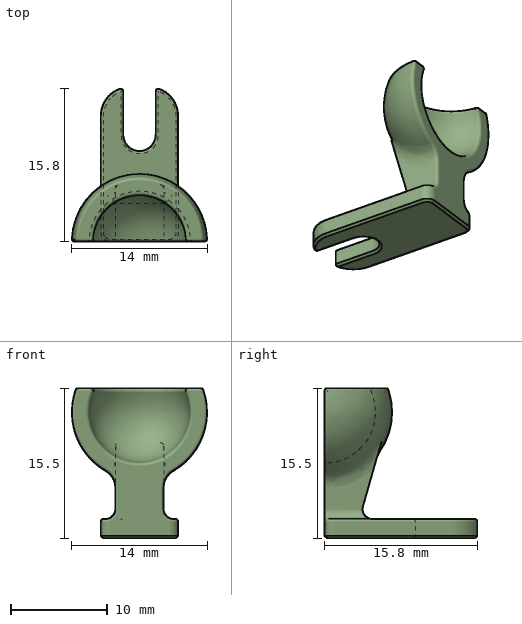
import cadquery as cq
import math

cup_radius = 6.99
socket_radius = 5.24
cup_center_z = 13.0
total_height = 15.5

base_length = 15.78
base_width = 8.0
base_thickness = 2.0
front_corner_radius = 1.0
nose_radius = 3.0
nose_middle_angle = 40
slot_width = 3.31
slot_center_y = 11.01

stem_width = 5.0
stem_depth_at_base = 3.61
stem_lean = 15.9
foot_radius = 1.0
neck_radius = 2.0

edge_radius = 0.3
bottom_chamfer = 0.25

probe = 0.08


def make_base():
    half_width = base_width / 2
    slot_radius = slot_width / 2
    tip_offset = slot_radius + edge_radius - (half_width - nose_radius)
    tip_reach = math.sqrt((nose_radius - edge_radius) ** 2 - tip_offset**2) + edge_radius
    shoulder_y = base_length - tip_reach
    nose_center_x = half_width - nose_radius
    corner_y = shoulder_y + math.sqrt(nose_radius**2 - (slot_radius - nose_center_x) ** 2)
    middle_angle = math.radians(nose_middle_angle)
    middle_x = nose_center_x + nose_radius * math.cos(middle_angle)
    middle_y = shoulder_y + nose_radius * math.sin(middle_angle)
    plate = (
        cq.Workplane("XY")
        .moveTo(-half_width, 0)
        .lineTo(half_width, 0)
        .lineTo(half_width, shoulder_y)
        .threePointArc((middle_x, middle_y), (slot_radius, corner_y))
        .lineTo(slot_radius, slot_center_y)
        .threePointArc((0, slot_center_y - slot_radius), (-slot_radius, slot_center_y))
        .lineTo(-slot_radius, corner_y)
        .threePointArc((-middle_x, middle_y), (-half_width, shoulder_y))
        .close()
        .extrude(base_thickness)
    )
    plate = plate.edges("|Z and <Y").fillet(front_corner_radius)
    plate = plate.edges("|Z and >Y").fillet(edge_radius)
    return plate.faces("<Z").edges().chamfer(bottom_chamfer)


def make_stem():
    lean = math.radians(stem_lean)
    cup_rise = cup_center_z - base_thickness
    back_distance = stem_depth_at_base * math.cos(lean) + cup_rise * math.sin(lean)
    top_depth = back_distance * math.cos(lean)
    top_z = cup_center_z - back_distance * math.sin(lean)
    return (
        cq.Workplane("YZ")
        .moveTo(0, base_thickness)
        .lineTo(stem_depth_at_base, base_thickness)
        .lineTo(top_depth, top_z)
        .lineTo(0, top_z)
        .close()
        .extrude(stem_width / 2, both=True)
    )


def make_ball(radius):
    ball = cq.Workplane("XY").sphere(radius).rotate((0, 0, 0), (1, 0, 0), 90)
    return ball.translate((0, 0, cup_center_z))


def make_cup():
    size = 3 * base_length
    front_space = cq.Workplane("XY").box(size, size, size).translate((0, -size / 2, 0))
    space_above = cq.Workplane("XY").box(size, size, size).translate((0, 0, total_height + size / 2))
    return make_ball(cup_radius).cut(front_space).cut(space_above)


def edges_inside(solid, low_corner, high_corner):
    return solid.edges(cq.selectors.BoxSelector(low_corner, high_corner, boundingbox=True))


def blend_stem(solid):
    reach = stem_width / 2 + probe
    neck_edges = edges_inside(
        solid,
        (-reach, -probe, base_thickness + probe),
        (reach, cup_radius, cup_center_z),
    ).edges("%CIRCLE")
    solid = solid.newObject(neck_edges.vals()).fillet(neck_radius)
    foot_edges = edges_inside(
        solid,
        (-reach, -probe, base_thickness - probe),
        (reach, stem_depth_at_base + probe, base_thickness + probe),
    )
    return solid.newObject(foot_edges.vals()).fillet(foot_radius)


def round_edges(solid):
    front_edges = edges_inside(
        solid,
        (-base_length, -probe, base_thickness),
        (base_length, probe, total_height + probe),
    ).vals()
    top_edges = solid.faces(">Z").edges("%CIRCLE").vals()
    base_side = edges_inside(
        solid,
        (-base_width, -probe, base_thickness - probe),
        (base_width, base_length + probe, base_thickness + probe),
    ).edges(">X").vals()
    return solid.newObject(front_edges + top_edges + base_side).fillet(edge_radius)


body = make_base().union(make_stem()).union(make_cup())
body = blend_stem(body).cut(make_ball(socket_radius))
result = round_edges(body)